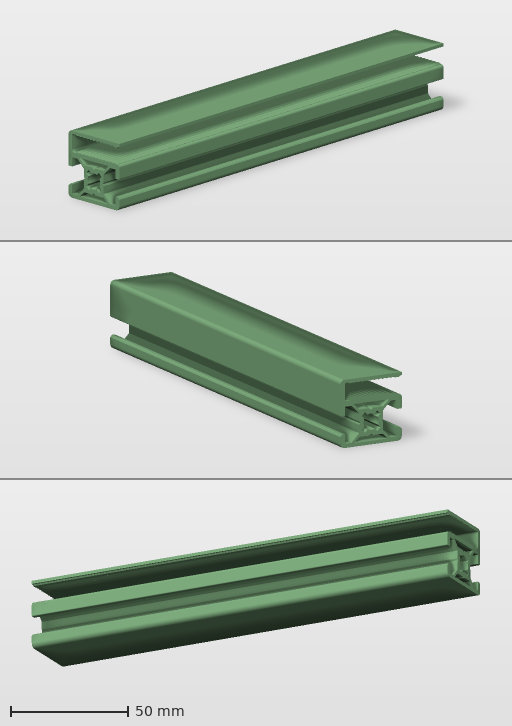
import cadquery as cq

LENGTH = 200.0
WIDTH = 30.0
HEIGHT = 30.0
MID_X = WIDTH / 2

WALL = 2.2
CORNER_RADIUS = 2.0

CORE_Z = 10.0
SLOT_OPENING = 8.0
SLOT_HEIGHT = 16.2
SLOT_FLAT_END = 5.5
CORE_WIDTH = 11.5
UPPER_LIP_RADIUS = 0.5
LOWER_LIP_BEVEL_WIDTH = 0.8
LOWER_LIP_BEVEL_HEIGHT = 1.0
LOWER_LIP_KNEE = 0.5

UPPER_HOLLOW_END = 8.8
LOWER_HOLLOW_END = 8.5
HOLLOW_INNER = 6.0
HOLLOW_INNER_HALF = 5.8
NOTCH_HALF_WIDTH = 0.8
NOTCH_DEPTH = 0.7
SIDE_NOTCH_DEPTH = 0.5

BORE_DIAMETER = 7.5
LOBE_SPAN = 10.5
LOBE_WIDTH = 2.2

PLATE_UNDERSIDE = 28.5
CHANNEL_TOP_FILLET = 0.8
CHANNEL_FLOOR_FILLET = 1.5
CHANNEL_FLOOR = 20.5
TOOTH_PITCH = 2.0
FIRST_TOOTH_X = 4.5
TOOTH_HEIGHT = 0.5
UPPER_TOOTH_COUNT = 11
LOWER_TOOTH_COUNT = 12
LOWER_TOOTH_BED = 0.1
RIM_RADIUS = 1.2
HOOK_START = 26.5
HOOK_BEVEL = 1.5
HOOK_BOTTOM = 28.0


def extrude(outline):
    """Extrude a closed XZ outline along the full length in +Y."""
    return outline.extrude(-LENGTH)


def sketch():
    return cq.Workplane("XZ")


def prism(points):
    return extrude(sketch().polyline(points).close())


def block(x_min, x_max, z_min, z_max):
    return prism([(x_min, z_min), (x_max, z_min), (x_max, z_max), (x_min, z_max)])


def mirror_x(solid):
    """Copy of a solid reflected about the middle of the width."""
    return solid.mirror("YZ", (MID_X, 0, 0))


def mirror_z(solid):
    """Copy of a solid reflected about the core height."""
    return solid.mirror("XY", (0, 0, CORE_Z))


def round_edge(solid, x, z, radius):
    """Round the lengthwise edge at (x, z)."""
    reach = 0.1
    box = cq.selectors.BoxSelector(
        (x - reach, -2, z - reach), (x + reach, LENGTH + 2, z + reach)
    )
    return solid.edges("|Y").edges(box).fillet(radius)


def make_channel():
    channel = block(WALL, WIDTH, CHANNEL_FLOOR, PLATE_UNDERSIDE)
    channel = round_edge(channel, WALL, PLATE_UNDERSIDE, CHANNEL_TOP_FILLET)
    channel = round_edge(channel, WALL, CHANNEL_FLOOR, CHANNEL_FLOOR_FILLET)
    return channel


def make_hook():
    return prism([
        (HOOK_START, PLATE_UNDERSIDE),
        (HOOK_START, HOOK_BOTTOM),
        (WIDTH - HOOK_BEVEL, HOOK_BOTTOM),
        (WIDTH, HOOK_BOTTOM + HOOK_BEVEL),
        (WIDTH, PLATE_UNDERSIDE),
    ])


def make_slot():
    """Side slot on the -X side, narrowing along 45 degree flanks to a notched core wall."""
    core_x = MID_X - CORE_WIDTH / 2
    slot_half = SLOT_HEIGHT / 2
    core_half = slot_half - (core_x - SLOT_FLAT_END)
    cavity = prism([
        (WALL, CORE_Z - slot_half),
        (SLOT_FLAT_END, CORE_Z - slot_half),
        (core_x, CORE_Z - core_half),
        (core_x, CORE_Z - NOTCH_HALF_WIDTH),
        (core_x + SIDE_NOTCH_DEPTH, CORE_Z),
        (core_x, CORE_Z + NOTCH_HALF_WIDTH),
        (core_x, CORE_Z + core_half),
        (SLOT_FLAT_END, CORE_Z + slot_half),
        (WALL, CORE_Z + slot_half),
    ])
    opening_half = SLOT_OPENING / 2
    return cavity.union(block(0, WALL, CORE_Z - opening_half, CORE_Z + opening_half))


def make_hollow(end):
    """Tapered hollow above the core, `end` above its centre, with a V notch in its floor."""
    end_half = HOLLOW_INNER_HALF + end - HOLLOW_INNER
    floor = CORE_Z + HOLLOW_INNER
    return prism([
        (MID_X - end_half, CORE_Z + end),
        (MID_X - HOLLOW_INNER_HALF, floor),
        (MID_X - NOTCH_HALF_WIDTH, floor),
        (MID_X, floor - NOTCH_DEPTH),
        (MID_X + NOTCH_HALF_WIDTH, floor),
        (MID_X + HOLLOW_INNER_HALF, floor),
        (MID_X + end_half, CORE_Z + end),
    ])


def make_bore():
    centre = sketch().center(MID_X, CORE_Z)
    bore = extrude(centre.circle(BORE_DIAMETER / 2))
    for angle in (45, 135):
        lobe = block(
            MID_X - LOBE_SPAN / 2, MID_X + LOBE_SPAN / 2,
            CORE_Z - LOBE_WIDTH / 2, CORE_Z + LOBE_WIDTH / 2,
        )
        bore = bore.union(lobe.rotate((MID_X, 0, CORE_Z), (MID_X, 1, CORE_Z), angle))
    return bore


def make_tooth(x, root_z, tip_z):
    """Saw tooth with its upright face toward -X, sloping away toward +X."""
    return prism([(x, root_z), (x, tip_z), (x + TOOTH_PITCH, root_z)])


def make_lip_bevel():
    """Two-facet bevel on the outer edge of the lower -X lip."""
    lip_top = CORE_Z - SLOT_OPENING / 2
    return prism([
        (0, lip_top - LOWER_LIP_BEVEL_HEIGHT),
        (LOWER_LIP_KNEE, lip_top - LOWER_LIP_KNEE),
        (LOWER_LIP_BEVEL_WIDTH, lip_top),
        (0, lip_top),
    ])


profile = block(0, WIDTH, 0, HEIGHT)
for corner_x, corner_z in ((0, 0), (WIDTH, 0), (0, HEIGHT)):
    profile = round_edge(profile, corner_x, corner_z, CORNER_RADIUS)

profile = profile.cut(make_channel()).union(make_hook())
profile = round_edge(profile, WIDTH, CHANNEL_FLOOR, RIM_RADIUS)

slot = make_slot()
lip_bevel = make_lip_bevel()
for cutter in (slot, lip_bevel):
    profile = profile.cut(cutter).cut(mirror_x(cutter))

profile = profile.cut(make_hollow(UPPER_HOLLOW_END))
profile = profile.cut(mirror_z(make_hollow(LOWER_HOLLOW_END)))
profile = profile.cut(make_bore())

for lip_x in (0, WIDTH):
    profile = round_edge(profile, lip_x, CORE_Z + SLOT_OPENING / 2, UPPER_LIP_RADIUS)

for index in range(UPPER_TOOTH_COUNT):
    tooth_x = FIRST_TOOTH_X + index * TOOTH_PITCH
    profile = profile.union(make_tooth(tooth_x, PLATE_UNDERSIDE, PLATE_UNDERSIDE - TOOTH_HEIGHT))

bed_top = CHANNEL_FLOOR + LOWER_TOOTH_BED
bed_end = FIRST_TOOTH_X + LOWER_TOOTH_COUNT * TOOTH_PITCH
profile = profile.union(block(FIRST_TOOTH_X, bed_end, CHANNEL_FLOOR, bed_top))
for index in range(LOWER_TOOTH_COUNT):
    tooth_x = FIRST_TOOTH_X + index * TOOTH_PITCH
    profile = profile.union(make_tooth(tooth_x, bed_top, bed_top + TOOTH_HEIGHT))

result = profile